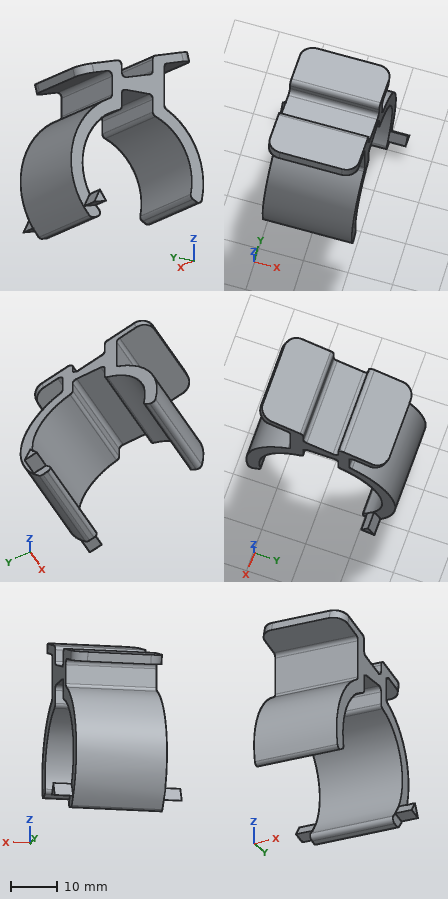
import cadquery as cq
import math

clip_width = 20.0
pin_span = 28.0
ring_outer = 17.0
ring_inner = 14.0
corner_radius = 1.0

front_tip_outer = 16.7
front_tip_inner = 14.2
back_tip_outer = 45.3
back_tip_inner = 52.8

wall_inside = 3.98
front_wall_outside = 6.95
back_wall_outside = 6.45
bridge_bottom = 18.0

tilt = 15.0
plate_top = 25.65
bridge_top = 21.55
plate_thickness = 2.05
plate_length = 29.85
plate_back_tip = 14.63
plate_corner = 3.03

pin_section = [(13.65, -9.85), (12.2, -6.88), (10.6, -9.1)]

slope = math.tan(math.radians(tilt))
tilt_cos = math.cos(math.radians(tilt))
tilt_sin = math.sin(math.radians(tilt))
plate_bottom = plate_top - plate_thickness / tilt_cos


def tilted(y, centre_height):
    """Point at y on a line that rises towards -Y."""
    return (y, centre_height - y * slope)


def on_ring(y, radius):
    """Point at y on the upper half of a ring circle."""
    return (y, math.sqrt(radius**2 - y**2))


def at_angle(radius, degrees):
    """Point on a ring circle, with the angle measured from +Y towards +Z."""
    angle = math.radians(degrees)
    return (radius * math.cos(angle), radius * math.sin(angle))


def make_body():
    back_top = tilted(plate_back_tip, plate_top)
    back_bottom = (back_top[0] - plate_thickness * tilt_sin, back_top[1] - plate_thickness * tilt_cos)
    front_top = tilted(plate_back_tip - plate_length * tilt_cos, plate_top)
    front_bottom = (front_top[0] - plate_thickness * tilt_sin, front_top[1] - plate_thickness * tilt_cos)

    outline = (
        cq.Workplane("YZ")
        .moveTo(*on_ring(back_wall_outside, ring_outer))
        .threePointArc((ring_outer, 0), at_angle(ring_outer, -back_tip_outer))
        .lineTo(*at_angle(ring_inner, -back_tip_inner))
        .threePointArc((ring_inner, 0), on_ring(wall_inside, ring_inner))
        .lineTo(wall_inside, bridge_bottom)
        .lineTo(-wall_inside, bridge_bottom)
        .lineTo(*on_ring(-wall_inside, ring_inner))
        .threePointArc((-ring_inner, 0), at_angle(ring_inner, 180 + front_tip_inner))
        .lineTo(*at_angle(ring_outer, 180 + front_tip_outer))
        .threePointArc((-ring_outer, 0), on_ring(-front_wall_outside, ring_outer))
        .lineTo(*tilted(-front_wall_outside, plate_bottom))
        .lineTo(*front_bottom)
        .lineTo(*front_top)
        .lineTo(*tilted(-wall_inside, plate_top))
        .lineTo(*tilted(-wall_inside, bridge_top))
        .lineTo(*tilted(wall_inside, bridge_top))
        .lineTo(*tilted(wall_inside, plate_top))
        .lineTo(*back_top)
        .lineTo(*back_bottom)
        .lineTo(*tilted(back_wall_outside, plate_bottom))
        .close()
    )
    body = outline.extrude(clip_width / 2, both=True)

    plate_tips = (back_top, back_bottom, front_top, front_bottom)
    rounded_edges = [
        edge
        for edge in body.edges("|X").vals()
        if all(math.dist((edge.Center().y, edge.Center().z), tip) > 0.005 for tip in plate_tips)
    ]
    body = body.newObject(rounded_edges).fillet(corner_radius)

    plate_normal = cq.Vector(0, tilt_sin, tilt_cos)
    tip_edges = [
        edge
        for edge in body.edges("%LINE").vals()
        if edge.tangentAt(0).cross(plate_normal).Length < 0.001
    ]
    return body.newObject(tip_edges).fillet(plate_corner)


def make_pin(side):
    """Pin standing on the clip face at +X (side 1) or -X (side -1)."""
    pin_length = (pin_span - clip_width) / 2
    face = cq.Workplane("YZ").workplane(offset=side * clip_width / 2)
    return face.polyline(pin_section).close().extrude(side * pin_length)


result = make_body().union(make_pin(1)).union(make_pin(-1))